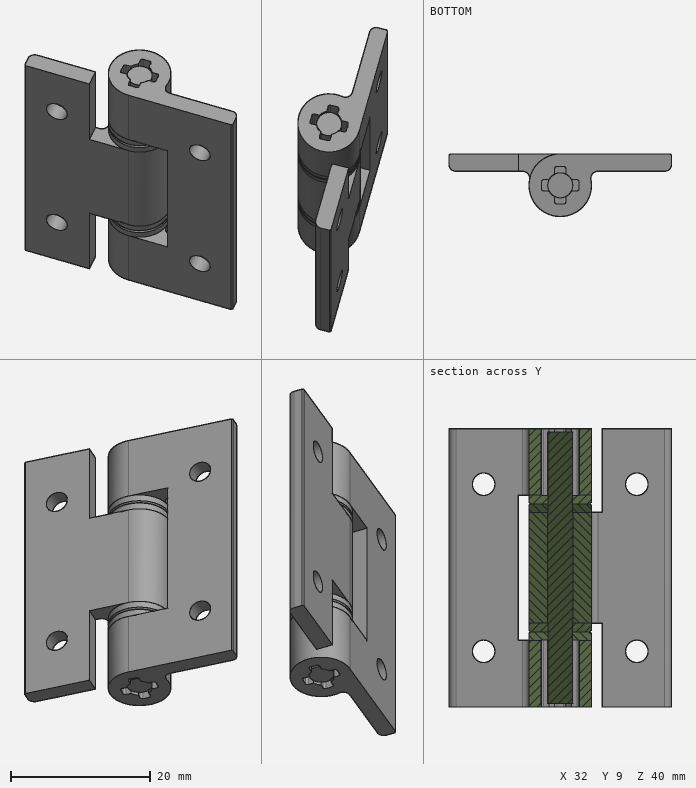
import cadquery as cq
import math

HINGE_HEIGHT = 40.0
HINGE_WIDTH = 32.0
BARREL_DIAMETER = 9.0
LEAF_FRONT_SETBACK = 2.0

ROOT_FILLET = 1.0
EDGE_ROUND = 1.0
EDGE_CHAMFER = 0.2

OUTER_KNUCKLE_LENGTH = 9.6
CENTER_KNUCKLE_LENGTH = 16.0
KNUCKLE_CLEARANCE_X = 6.0

SCREW_HOLE_DIAMETER = 3.2
SCREW_HOLE_X = 11.0
SCREW_HOLE_Z = 12.0

PIN_DIAMETER = 3.6
PIN_RECESS = 0.5
KEYWAY_WIDTH = 1.6
KEYWAY_SPAN = 5.4
KEYWAY_CORNER = 0.3

WASHERS_PER_JOINT = 2
WASHER_CHAMFER = 0.2

BARREL_RADIUS = BARREL_DIAMETER / 2
PIN_RADIUS = PIN_DIAMETER / 2
HALF_WIDTH = HINGE_WIDTH / 2
HALF_HEIGHT = HINGE_HEIGHT / 2
HALF_CENTER_KNUCKLE = CENTER_KNUCKLE_LENGTH / 2
OUTER_KNUCKLE_START = HALF_HEIGHT - OUTER_KNUCKLE_LENGTH
WASHER_THICKNESS = (OUTER_KNUCKLE_START - HALF_CENTER_KNUCKLE) / WASHERS_PER_JOINT
LEAF_BACK_Y = -BARREL_RADIUS
LEAF_FRONT_Y = -LEAF_FRONT_SETBACK
LEAF_THICKNESS = LEAF_FRONT_Y - LEAF_BACK_Y


def cylinder(radius, z_bottom, z_top):
    """Solid cylinder on the pin axis."""
    return cq.Workplane("XY").workplane(offset=z_bottom).circle(radius).extrude(z_top - z_bottom)


def knuckle_zone(z_bottom, z_top):
    """Block around the barrel, used to clear one leaf where the other has a knuckle."""
    side = 2 * KNUCKLE_CLEARANCE_X
    return cq.Workplane("XY").workplane(offset=z_bottom).rect(side, side).extrude(z_top - z_bottom)


def leaf_blank():
    """Full-height leaf and barrel, with the leaf on the +X side, and its screw holes."""
    fillet_y = LEAF_FRONT_Y + ROOT_FILLET
    fillet_x = math.sqrt((BARREL_RADIUS + ROOT_FILLET) ** 2 - fillet_y**2)
    touch_ratio = BARREL_RADIUS / (BARREL_RADIUS + ROOT_FILLET)
    barrel_touch = (fillet_x * touch_ratio, fillet_y * touch_ratio)

    blank = (
        cq.Workplane("XY")
        .workplane(offset=-HALF_HEIGHT)
        .moveTo(0, LEAF_BACK_Y)
        .lineTo(HALF_WIDTH - EDGE_CHAMFER, LEAF_BACK_Y)
        .lineTo(HALF_WIDTH, LEAF_BACK_Y + EDGE_CHAMFER)
        .lineTo(HALF_WIDTH, LEAF_FRONT_Y - EDGE_ROUND)
        .radiusArc((HALF_WIDTH - EDGE_ROUND, LEAF_FRONT_Y), -EDGE_ROUND)
        .lineTo(fillet_x, LEAF_FRONT_Y)
        .radiusArc(barrel_touch, ROOT_FILLET)
        .threePointArc((-BARREL_RADIUS, 0), (0, LEAF_BACK_Y))
        .close()
        .extrude(HINGE_HEIGHT)
    )
    screw_holes = (
        cq.Workplane("XZ", origin=(0, LEAF_FRONT_Y, 0))
        .pushPoints([(SCREW_HOLE_X, -SCREW_HOLE_Z), (SCREW_HOLE_X, SCREW_HOLE_Z)])
        .circle(SCREW_HOLE_DIAMETER / 2)
        .extrude(LEAF_THICKNESS)
    )
    return blank.cut(screw_holes)


def keyways():
    """Cross-shaped cutter, two crossing bars that give four keyways around the pin bore."""
    bar = (
        cq.Workplane("XY")
        .box(KEYWAY_SPAN, KEYWAY_WIDTH, HINGE_HEIGHT)
        .edges("|Z")
        .fillet(KEYWAY_CORNER)
    )
    return bar.union(bar.rotate((0, 0, 0), (0, 0, 1), 90))


def make_outer_leaf():
    """Leaf on +X that carries the two keyed outer knuckles."""
    return (
        leaf_blank()
        .cut(knuckle_zone(-OUTER_KNUCKLE_START, OUTER_KNUCKLE_START))
        .cut(cylinder(PIN_RADIUS, -HALF_HEIGHT, HALF_HEIGHT))
        .cut(keyways())
    )


def make_center_leaf():
    """Leaf on -X that carries the single center knuckle."""
    return (
        leaf_blank()
        .mirror("YZ")
        .cut(knuckle_zone(-HALF_HEIGHT, -HALF_CENTER_KNUCKLE))
        .cut(knuckle_zone(HALF_CENTER_KNUCKLE, HALF_HEIGHT))
        .cut(cylinder(PIN_RADIUS, -HALF_HEIGHT, HALF_HEIGHT))
    )


def make_pin():
    """Plain pin, recessed equally at both ends."""
    pin_end = HALF_HEIGHT - PIN_RECESS
    return cylinder(PIN_RADIUS, -pin_end, pin_end)


def make_washer(z_bottom, chamfered_face):
    """Washer with its outer edge chamfered on one face (">Z" or "<Z")."""
    z_top = z_bottom + WASHER_THICKNESS
    disc = cylinder(BARREL_RADIUS, z_bottom, z_top).faces(chamfered_face).edges().chamfer(WASHER_CHAMFER)
    return disc.cut(cylinder(PIN_RADIUS, z_bottom, z_top))


outer_leaf = make_outer_leaf()
center_leaf = make_center_leaf()
pin = make_pin()

washers = []
for joint_bottom in (-OUTER_KNUCKLE_START, HALF_CENTER_KNUCKLE):
    washers.append(make_washer(joint_bottom, ">Z"))
    washers.append(make_washer(joint_bottom + WASHER_THICKNESS, "<Z"))

result = cq.Compound.makeCompound(
    [outer_leaf.val(), center_leaf.val(), pin.val(), *[washer.val() for washer in washers]]
)